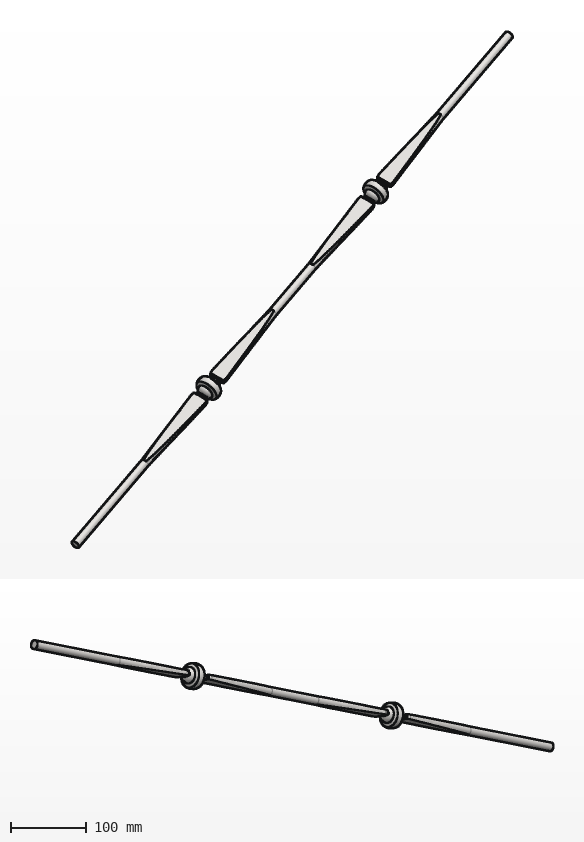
import cadquery as cq

bar_length = 1000.0
bar_diameter = 12.0

knob_offset = 192.5

blade_tip_diameter = bar_diameter
blade_root_diameter = 23.6
blade_end_diameter = 22.0
blade_tip_thickness = 11.3
blade_end_thickness = 6.4
blade_tip_distance = 147.5
blade_root_distance = 24.0
blade_end_distance = 19.0

neck_width = 16.0
neck_thickness = 6.0

knob_diameter = 35.0
rim_edge_diameter = 32.5
rim_edge_width = 11.0
groove_diameter = 22.0
groove_distance = 7.5
collar_diameter = 21.0
collar_distance = 10.8
knob_end_diameter = 9.0
knob_end_distance = 15.0


def turn(outline):
    """Turn an open (radius, y) outline, begun and ended on the axis, about the Y axis."""
    return outline.close().revolve(360, (0, 0, 0), (0, 1, 0))


def make_bar_segment(start, end):
    """Plain round bar between two positions along Y."""
    return cq.Workplane("XZ", origin=(0, start, 0)).circle(bar_diameter / 2).extrude(start - end)


def make_blade():
    """Cone widening towards the knob, cut by two flats that close in towards it."""
    cone = turn(
        cq.Workplane("XY")
        .moveTo(0, blade_end_distance)
        .lineTo(blade_end_diameter / 2, blade_end_distance)
        .lineTo(blade_root_diameter / 2, blade_root_distance)
        .lineTo(blade_tip_diameter / 2, blade_tip_distance)
        .lineTo(0, blade_tip_distance)
    )
    flats = (
        cq.Workplane("YZ")
        .moveTo(blade_tip_distance, -blade_tip_thickness / 2)
        .lineTo(blade_tip_distance, blade_tip_thickness / 2)
        .lineTo(blade_end_distance, blade_end_thickness / 2)
        .lineTo(blade_end_distance, -blade_end_thickness / 2)
        .close()
        .extrude(blade_root_diameter, both=True)
    )
    return cone.intersect(flats)


def make_neck():
    """Oval bar running through the knob from blade to blade."""
    return (
        cq.Workplane("XZ")
        .ellipse(neck_width / 2, neck_thickness / 2)
        .extrude(blade_root_distance, both=True)
    )


def make_knob():
    """Rounded rim with a groove and a rounded collar on each side of it."""
    half_rim = rim_edge_width / 2
    rim_edge_radius = rim_edge_diameter / 2
    groove_radius = groove_diameter / 2
    collar_radius = collar_diameter / 2
    end_radius = knob_end_diameter / 2
    return turn(
        cq.Workplane("XY")
        .moveTo(0, -knob_end_distance)
        .lineTo(end_radius, -knob_end_distance)
        .threePointArc((collar_radius, -collar_distance), (groove_radius, -groove_distance))
        .lineTo(rim_edge_radius, -half_rim)
        .threePointArc((knob_diameter / 2, 0), (rim_edge_radius, half_rim))
        .lineTo(groove_radius, groove_distance)
        .threePointArc((collar_radius, collar_distance), (end_radius, knob_end_distance))
        .lineTo(0, knob_end_distance)
    )


def make_ornament():
    """Knob, neck and the two blades, centred on the knob."""
    blade = make_blade()
    return make_knob().union(make_neck()).union(blade).union(blade.mirror("XZ"))


middle_end = knob_offset - blade_tip_distance
outer_start = knob_offset + blade_tip_distance

result = make_bar_segment(-middle_end, middle_end)
for side in (-1, 1):
    result = result.union(make_ornament().translate((0, side * knob_offset, 0)))
    result = result.union(make_bar_segment(side * outer_start, side * bar_length / 2))